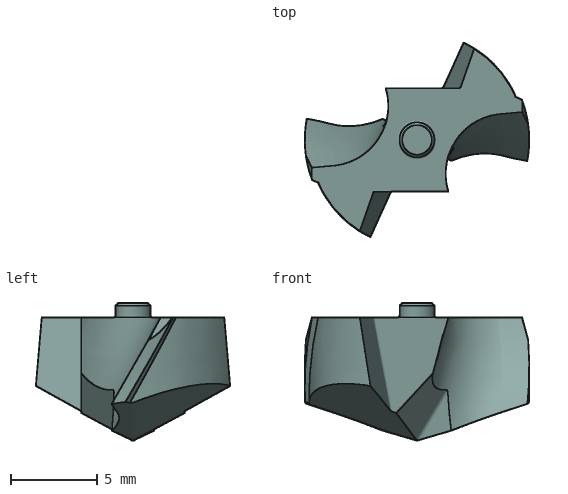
import cadquery as cq
import math

tip_depth = 7.14
cutting_radius = 6.5
land_radius = 6.24
twist_rate = 5.077
tool_reach = 26.0

land_end_angle = -70.0
margin_step_angle = 23.5
margin_back_angle = 21.0
margin_front_angle = 14.5

flute_shallow_end = (4.68, 1.48)
flute_middle = (2.47, 0.26)
flute_deep_end = (1.82, -2.99)
flute_runout = (2.02, -3.64)

notch_wall = 2.99
notch_corner_x = 2.51
notch_x_per_y = 0.35
notch_x_per_z = 0.186
notch_fillet = 0.13

lip_relief = (-0.353, -0.1)
heel_relief = (-0.353, -0.394)
gash_floor = (1.085, -0.97)
gash_wall_slope = -0.615
gash_fillet = 0.2

corner_flat_x = 6.08
corner_flat_taper = 0.27

post_radius = 1.01
post_height = 0.83
post_chamfer = 0.15
post_base_fillet = 0.12


def polar(radius, angle):
    """Point in the XY plane at a radius and an angle in degrees."""
    return (radius * math.cos(math.radians(angle)), radius * math.sin(math.radians(angle)))


def half_space(point, normal):
    """Large block filling the side of a plane towards which the normal points."""
    plane = cq.Plane(origin=point, normal=normal)
    return cq.Workplane(plane).rect(2 * tool_reach, 2 * tool_reach).extrude(tool_reach)


def below_slope(slope):
    """Block below a plane through the tip that rises by the given x and y slopes."""
    return half_space((0, 0, -tip_depth), (slope[0], slope[1], -1))


def cut_both_sides(body, tool):
    """Cut a tool and its copy turned half a revolution about Z."""
    return body.cut(tool).cut(tool.rotate((0, 0, 0), (0, 0, 1), 180))


def opposite(point):
    return (-point[0], -point[1])


def make_twisted_body():
    def section_half(outline, turn):
        """Append one flute, the land following it and the next margin."""
        land_start = 180 + margin_step_angle - 360
        land_middle = (land_end_angle + land_start) / 2
        margin_back = 180 + margin_back_angle
        margin_front = 180 + margin_front_angle
        margin_middle = (margin_back + margin_front) / 2
        return (
            outline.lineTo(*turn(flute_shallow_end))
            .threePointArc(turn(flute_middle), turn(flute_deep_end))
            .lineTo(*turn(flute_runout))
            .lineTo(*turn(polar(land_radius, land_end_angle)))
            .threePointArc(turn(polar(land_radius, land_middle)), turn(polar(land_radius, land_start)))
            .lineTo(*turn(polar(cutting_radius, margin_back)))
            .threePointArc(
                turn(polar(cutting_radius, margin_middle)), turn(polar(cutting_radius, margin_front))
            )
        )

    outline = cq.Workplane("XY").moveTo(*polar(cutting_radius, margin_front_angle))
    outline = section_half(outline, tuple)
    outline = section_half(outline, opposite)
    return outline.close().twistExtrude(-tip_depth, twist_rate * tip_depth)


def make_notch():
    side = half_space((notch_corner_x, notch_wall, 0), (-1, notch_x_per_y, notch_x_per_z))
    notch = half_space((0, notch_wall, 0), (0, 1, 0)).intersect(side)
    corner_direction = cq.Vector(notch_x_per_z, 0, 1)
    return notch.edges(cq.selectors.ParallelDirSelector(corner_direction)).fillet(notch_fillet)


def make_gash():
    wall_side = half_space((0, 0, 0), (gash_wall_slope, -1, 0))
    gash = below_slope(gash_floor).intersect(wall_side)
    valley_rise = gash_floor[0] + gash_floor[1] * gash_wall_slope
    valley_direction = cq.Vector(1, gash_wall_slope, valley_rise)
    return gash.edges(cq.selectors.ParallelDirSelector(valley_direction)).fillet(gash_fillet)


def make_post():
    base_radius = post_radius + post_base_fillet
    arc_offset = post_base_fillet * (1 - math.sqrt(0.5))
    return (
        cq.Workplane("XZ")
        .lineTo(base_radius, 0)
        .threePointArc((post_radius + arc_offset, arc_offset), (post_radius, post_base_fillet))
        .lineTo(post_radius, post_height - post_chamfer)
        .lineTo(post_radius - post_chamfer, post_height)
        .lineTo(0, post_height)
        .close()
        .revolve(360, (0, 0, 0), (0, 1, 0))
    )


body = make_twisted_body()
corner_flat = half_space((corner_flat_x, 0, 0), (1, 0, corner_flat_taper))
for tool in (make_notch(), below_slope(lip_relief), below_slope(heel_relief), make_gash(), corner_flat):
    body = cut_both_sides(body, tool)

result = body.union(make_post())